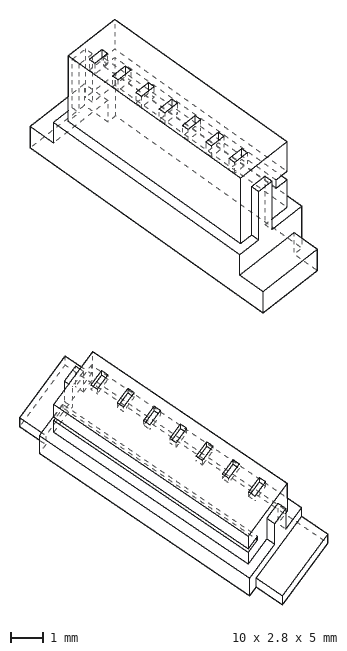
import cadquery as cq

length = 10.0
depth = 2.8
height = 5.0
body_length = 8.0
body_height = 1.95
wing_depth = 2.45
wing_height = 1.0

block_length = 7.4
block_depth = 2.1

rib_back = 0.05
rib_depth = 0.6
rib_top = 4.2

groove_bottom = 3.23
groove_height = 0.39
groove_depth = 0.5

slot_count = 7
slot_pitch = 1.0
slot_length = 0.24
slot_depth = 0.57
slot_center_y = -0.42
slot_drop = 0.5

front = -depth / 2
block_back = block_depth / 2


def box(size_x, size_y, size_z, front_y, bottom_z):
    """Box centred on X, starting at the given front face and bottom."""
    return (
        cq.Workplane("XY")
        .box(size_x, size_y, size_z, centered=(True, False, False))
        .translate((0, front_y, bottom_z))
    )


def make_base():
    body = box(body_length, depth, body_height, front, 0)
    wings = box(length, wing_depth, wing_height, front, 0)
    return body.union(wings)


def make_block():
    block = box(block_length, block_depth, height - body_height, -block_depth / 2, body_height)
    groove = box(block_length, groove_depth, groove_height, block_back - groove_depth, groove_bottom)
    return block.cut(groove)


def make_ribs():
    return box(body_length, rib_depth, rib_top - body_height, rib_back - rib_depth, body_height)


def make_contact_slots():
    return (
        cq.Workplane("XY", origin=(0, slot_center_y, height))
        .rarray(slot_pitch, 0.1, slot_count, 1)
        .rect(slot_length, slot_depth)
        .extrude(-slot_drop)
    )


result = make_base().union(make_block()).union(make_ribs()).cut(make_contact_slots())